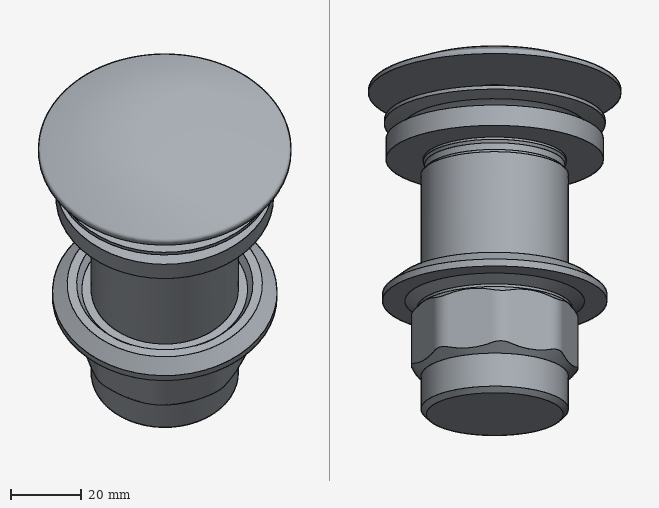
import cadquery as cq
import math


cap_radius = 36.0
cap_bottom = 96.3
cap_top = 106.23
cap_rim_height = 1.4
cap_edge_round = 1.1
stem_radius = 7.65

tube_radius = 21.0
tube_top = 71.8
tail_chamfer = 1.5
neck_radius = 20.0
neck_bottom = tube_top + tube_radius - neck_radius
collar_radius = 20.4
collar_bottom = 75.7
collar_chamfer = 0.9
lip_radius = 31.5
lip_top = 88.2
lip_thickness = 1.1
rim_slope = math.radians(12)
rim_inner_radius = 26.2
flare_start_slope = math.radians(27)
bowl_round = 24.0
bowl_floor_depth = 4.6

gasket_radius = 31.0
gasket_bottom = 76.4
gasket_height = 6.1

nut_sides = 8
nut_across_flats = 45.0
nut_corner_round = 6.5
nut_bottom = 11.4
nut_top = 31.0
nut_face_radius = 22.15
nut_face_height = 0.8

ring_radius = 32.0
ring_top_radius = 27.8
ring_cone_top_radius = 25.6
ring_bottom = nut_top + nut_face_height
ring_flange_bottom = 33.9
ring_flange_edge_top = 36.0
ring_top = 39.4
recess_top_radius = 25.1
recess_floor_radius = 23.6
recess_depth = 2.2


def revolve(profile):
    """Turn a closed radius-height profile around the Z axis."""
    return profile.close().revolve(360, (0, 0, 0), (0, 1, 0))


def disc(radius, bottom, top):
    return cq.Workplane("XY").workplane(offset=bottom).circle(radius).extrude(top - bottom)


def make_cap():
    rim_top = cap_bottom + cap_rim_height
    dome_rise = cap_top - rim_top
    sphere_radius = (cap_radius**2 + dome_rise**2) / (2 * dome_rise)
    half_angle = math.asin(cap_radius / sphere_radius) / 2
    dome_middle = (
        sphere_radius * math.sin(half_angle),
        cap_top - sphere_radius * (1 - math.cos(half_angle)),
    )
    disc_top = revolve(
        cq.Workplane("XZ")
        .moveTo(0, cap_bottom)
        .lineTo(cap_radius, cap_bottom)
        .lineTo(cap_radius, rim_top)
        .threePointArc(dome_middle, (0, cap_top))
    )
    rounded_top = disc_top.faces("%CYLINDER").edges(">Z").fillet(cap_edge_round)
    stem = disc(stem_radius, lip_top - bowl_floor_depth, cap_bottom)
    return rounded_top.union(stem)


def make_body_outside():
    lip_bottom = lip_top - lip_thickness
    rim_drop = (lip_radius - rim_inner_radius) * math.tan(rim_slope)
    flare_radius = (rim_inner_radius - collar_radius) / (1 - math.sin(flare_start_slope))
    flare_centre_height = lip_bottom - rim_drop - flare_radius * math.cos(flare_start_slope)

    def flare_point(slope):
        """Point of the flare where it falls at the given slope angle."""
        return (
            collar_radius + flare_radius * (1 - math.sin(slope)),
            flare_centre_height + flare_radius * math.cos(slope),
        )

    vertical = math.pi / 2
    return revolve(
        cq.Workplane("XZ")
        .lineTo(tube_radius - tail_chamfer, 0)
        .lineTo(tube_radius, tail_chamfer)
        .lineTo(tube_radius, tube_top)
        .lineTo(neck_radius, neck_bottom)
        .lineTo(neck_radius, collar_bottom - collar_chamfer)
        .lineTo(collar_radius, collar_bottom)
        .lineTo(*flare_point(vertical))
        .threePointArc(flare_point((flare_start_slope + vertical) / 2), flare_point(flare_start_slope))
        .lineTo(lip_radius, lip_bottom)
        .lineTo(lip_radius, lip_top)
        .lineTo(0, lip_top)
    )


def make_bowl_recess():
    def bowl_point(slope):
        return (
            lip_radius - bowl_round * math.sin(slope),
            lip_top - bowl_round * (1 - math.cos(slope)),
        )

    floor_slope = math.acos(1 - bowl_floor_depth / bowl_round)
    return revolve(
        cq.Workplane("XZ")
        .moveTo(0, lip_top - bowl_floor_depth)
        .lineTo(*bowl_point(floor_slope))
        .threePointArc(bowl_point(floor_slope / 2), bowl_point(0))
        .lineTo(0, lip_top)
    )


def make_gasket(body_outside):
    blank = disc(gasket_radius, gasket_bottom, gasket_bottom + gasket_height)
    return blank.cut(body_outside)


def make_ring():
    recess_floor = ring_top - recess_depth
    return revolve(
        cq.Workplane("XZ")
        .moveTo(tube_radius, ring_bottom)
        .lineTo(nut_face_radius, ring_bottom)
        .lineTo(ring_cone_top_radius, ring_flange_bottom)
        .lineTo(ring_radius, ring_flange_bottom)
        .lineTo(ring_radius, ring_flange_edge_top)
        .lineTo(ring_top_radius, ring_top)
        .lineTo(recess_top_radius, ring_top)
        .lineTo(recess_floor_radius, recess_floor)
        .lineTo(tube_radius, recess_floor)
    )


def make_nut():
    corner_radius = nut_across_flats / 2 / math.cos(math.pi / nut_sides)
    octagon = (
        cq.Workplane("XY")
        .workplane(offset=nut_bottom)
        .polygon(nut_sides, 2 * corner_radius)
        .extrude(nut_top - nut_bottom)
        .rotate((0, 0, 0), (0, 0, 1), 180 / nut_sides)
        .edges("|Z")
        .fillet(nut_corner_round)
    )
    envelope = revolve(
        cq.Workplane("XZ")
        .moveTo(0, nut_bottom)
        .lineTo(tube_radius, nut_bottom)
        .lineTo(corner_radius, nut_bottom + corner_radius - tube_radius)
        .lineTo(corner_radius, nut_top - corner_radius + nut_face_radius)
        .lineTo(nut_face_radius, nut_top)
        .lineTo(0, nut_top)
    )
    face = disc(nut_face_radius, nut_top, nut_top + nut_face_height)
    bore = disc(tube_radius, nut_bottom, nut_top + nut_face_height)
    return octagon.intersect(envelope).union(face).cut(bore)


cap = make_cap()
body_outside = make_body_outside()
body = body_outside.cut(make_bowl_recess())
gasket = make_gasket(body_outside)
ring = make_ring()
nut = make_nut()

result = cq.Compound.makeCompound([cap.val(), body.val(), gasket.val(), ring.val(), nut.val()])